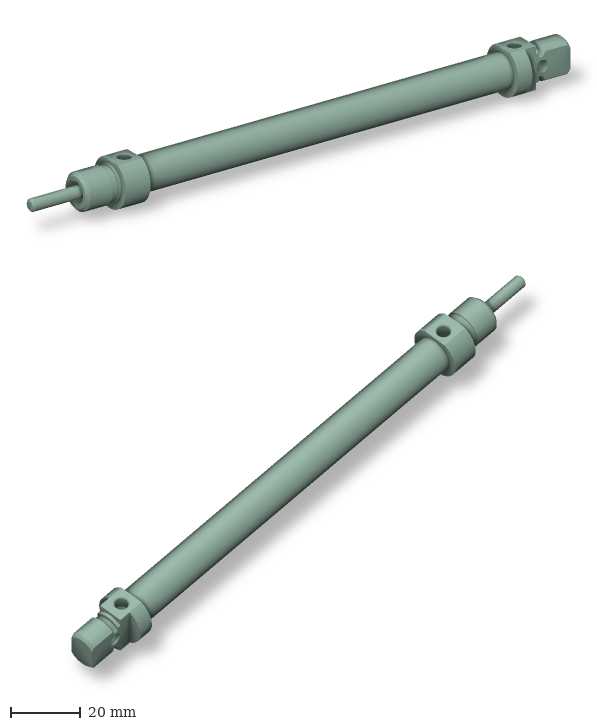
import cadquery as cq
import math


overall_length = 186.0
rod_reach = 28.0
rear_end = overall_length - rod_reach

rod_diameter = 4.0
rod_tip_diameter = 3.0
rod_tip_chamfer = (rod_diameter - rod_tip_diameter) / 2

barrel_diameter = 11.27
front_neck_length = 1.4
rear_neck_length = 1.0

collar_diameter = 16.0
front_collar_length = 8.7
rear_collar_length = 9.0
port_flat_height = 7.0
neck_diameter = 11.2

port_diameter = 4.13
port_rim_diameter = 4.7
front_port_y = 5.0
rear_port_setback = 16.75
rear_port_depth = 4.0
drill_point_angle = 118.0

thread_diameter = 12.0
thread_length = 12.0
thread_chamfer = 1.0
relief_length = 3.2
shoulder_step_length = 0.8

recess_steps = [(7.5, 0.5), (6.6, 1.0), (5.6, 1.5), (4.7, 2.0)]

tang_diameter = 12.0
tang_width = 8.0
tang_chamfer = 0.8
tang_length = 12.0
tang_flat_length = 16.0
pivot_diameter = 4.0
pivot_setback = 9.8
groove_diameter = 10.0
groove_front = 10.9
groove_back = 8.7
groove_slope_length = 0.8

front_collar_end = front_collar_length
rear_collar_end = rear_end - tang_length
rear_collar_start = rear_collar_end - rear_collar_length
barrel_start = front_collar_end + front_neck_length
barrel_end = rear_collar_start - rear_neck_length


def turned(profile):
    """Solid of revolution about Y from (radius, y) points, closed along the axis."""
    points = [(0, profile[0][1])] + profile + [(0, profile[-1][1])]
    return cq.Workplane("XY").polyline(points).close().revolve(360, (0, 0, 0), (0, 1, 0))


def cylinder(diameter, start, end):
    return turned([(diameter / 2, start), (diameter / 2, end)])


def cut_port(head, y, floor, point_length):
    """Mill the port flat on top of a collar and drill the port down to a floor height."""
    flat = (
        cq.Workplane("XY", origin=(0, y, port_flat_height))
        .rect(collar_diameter, collar_diameter)
        .extrude(collar_diameter)
    )
    radius = port_diameter / 2
    rim_radius = port_rim_diameter / 2
    drill = (
        cq.Workplane("XZ", origin=(0, y, 0))
        .polyline([
            (0, port_flat_height),
            (rim_radius, port_flat_height),
            (radius, port_flat_height - (rim_radius - radius)),
            (radius, floor),
            (0, floor - point_length),
        ])
        .close()
        .revolve(360, (0, 0, 0), (0, 1, 0))
    )
    return head.cut(flat).cut(drill)


def make_front_head():
    face = -thread_length
    body = turned([
        (thread_diameter / 2 - thread_chamfer, face),
        (thread_diameter / 2, face + thread_chamfer),
        (thread_diameter / 2, -relief_length),
        (neck_diameter / 2, -relief_length),
        (neck_diameter / 2, -shoulder_step_length),
        (thread_diameter / 2, -shoulder_step_length),
        (thread_diameter / 2, 0),
        (collar_diameter / 2, 0),
        (collar_diameter / 2, front_collar_end),
        (neck_diameter / 2, front_collar_end),
        (neck_diameter / 2, barrel_start),
    ])
    body = cut_port(body, front_port_y, 0, 0)
    for diameter, depth in recess_steps:
        body = body.cut(cylinder(diameter, face, face + depth))
    return body.cut(cylinder(rod_diameter, face, barrel_start))


def make_rod():
    return cylinder(rod_diameter, -rod_reach, barrel_start).faces("<Y").chamfer(rod_tip_chamfer)


def make_barrel():
    return cylinder(barrel_diameter, barrel_start, barrel_end)


def make_rear_head():
    body = turned([
        (neck_diameter / 2, barrel_end),
        (neck_diameter / 2, rear_collar_start),
        (collar_diameter / 2, rear_collar_start),
        (collar_diameter / 2, rear_collar_end),
        (tang_diameter / 2, rear_collar_end),
        (tang_diameter / 2, rear_end - groove_front),
        (groove_diameter / 2, rear_end - groove_front),
        (groove_diameter / 2, rear_end - groove_back - groove_slope_length),
        (tang_diameter / 2, rear_end - groove_back),
        (tang_diameter / 2, rear_end - tang_chamfer),
        (tang_diameter / 2 - tang_chamfer, rear_end),
    ])
    point_length = port_diameter / 2 / math.tan(math.radians(drill_point_angle / 2))
    body = cut_port(body, rear_end - rear_port_setback, port_flat_height - rear_port_depth, point_length)
    for side in (-1, 1):
        offset = side * (tang_width + collar_diameter) / 2
        flat = cq.Workplane("XY").box(collar_diameter, tang_flat_length, collar_diameter)
        body = body.cut(flat.translate((offset, rear_end - tang_flat_length / 2, 0)))
    pivot = (
        cq.Workplane("YZ", origin=(-tang_width / 2, rear_end - pivot_setback, 0))
        .circle(pivot_diameter / 2)
        .extrude(tang_width)
    )
    return body.cut(pivot)


front_head = make_front_head()
rod = make_rod()
barrel = make_barrel()
rear_head = make_rear_head()

result = cq.Compound.makeCompound([front_head.val(), rod.val(), barrel.val(), rear_head.val()])